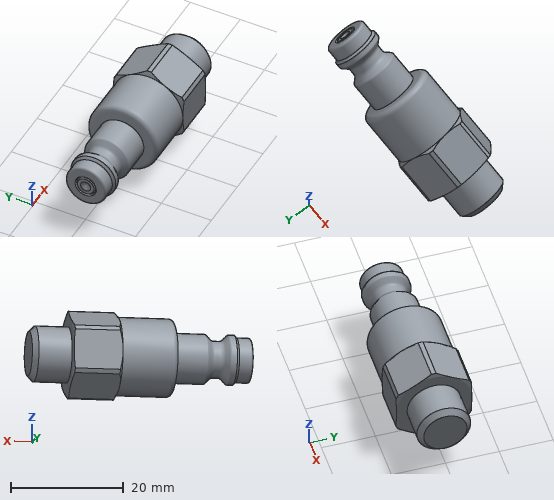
import cadquery as cq
import math

total_length = 40.0

nose_diameter = 8.05
nose_fillet = 0.5
nose_length = 2.55

shank_diameter = 8.95
groove_diameter = 6.6
groove_floor_start = 5.7
groove_floor_end = 6.65
groove_floor_fillet = 1.0
groove_rim_fillet = 0.5

body_diameter = 14.0
body_fillet = 1.05
body_fillet_end = 15.1
body_face_slope = math.radians(5)

hex_start = 24.15
hex_end = 33.0
hex_across_flats = body_diameter
hex_corner_diameter = 15.7
hex_front_chamfer = 0.5
hex_back_chamfer = 0.2

spigot_diameter = 10.0
spigot_chamfer = 1.0

bore_diameter = 4.2
pin_diameter = 3.8
pin_chamfer = 0.25
pin_gap_depth = 1.0
dimple_diameter = 2.0
dimple_depth = 0.6

nose_radius = nose_diameter / 2
shank_radius = shank_diameter / 2
groove_radius = groove_diameter / 2
body_radius = body_diameter / 2
spigot_radius = spigot_diameter / 2
hex_corner_radius = hex_corner_diameter / 2


def make_turned_body():
    """Revolve the nose, groove, shank, round body and spigot about X."""
    cos45 = math.cos(math.radians(45))
    half_cos = math.cos(math.radians(22.5))
    half_sin = math.sin(math.radians(22.5))

    floor_run = groove_floor_fillet * cos45
    floor_rise = groove_floor_fillet * (1 - cos45)
    rim_run = groove_rim_fillet * cos45
    rim_drop = groove_rim_fillet * (1 - cos45)
    cone_run = shank_radius - groove_radius - floor_rise - rim_drop

    cone_foot = (floor_run, groove_radius + floor_rise)
    cone_top = (floor_run + cone_run, shank_radius - rim_drop)
    rim = (floor_run + cone_run + rim_run, shank_radius)
    floor_mid = (groove_floor_fillet * half_sin, groove_radius + groove_floor_fillet * (1 - half_cos))
    rim_mid = (rim[0] - groove_rim_fillet * half_sin, shank_radius - groove_rim_fillet * (1 - half_cos))

    face_outer_x = body_fillet_end - body_fillet * math.cos(body_face_slope)
    face_outer_radius = body_radius - body_fillet * (1 - math.sin(body_face_slope))
    face_inner_x = face_outer_x - (face_outer_radius - shank_radius) * math.tan(body_face_slope)

    def front_wall(point):
        return (groove_floor_start - point[0], point[1])

    def back_wall(point):
        return (groove_floor_end + point[0], point[1])

    profile = (
        cq.Workplane("XY")
        .lineTo(0, nose_radius - nose_fillet)
        .radiusArc((nose_fillet, nose_radius), nose_fillet)
        .lineTo(nose_length, nose_radius)
        .lineTo(nose_length + shank_radius - nose_radius, shank_radius)
        .lineTo(*front_wall(rim))
        .threePointArc(front_wall(rim_mid), front_wall(cone_top))
        .lineTo(*front_wall(cone_foot))
        .threePointArc(front_wall(floor_mid), (groove_floor_start, groove_radius))
        .lineTo(groove_floor_end, groove_radius)
        .threePointArc(back_wall(floor_mid), back_wall(cone_foot))
        .lineTo(*back_wall(cone_top))
        .threePointArc(back_wall(rim_mid), back_wall(rim))
        .lineTo(face_inner_x, shank_radius)
        .lineTo(face_outer_x, face_outer_radius)
        .radiusArc((body_fillet_end, body_radius), body_fillet)
        .lineTo(hex_start, body_radius)
        .lineTo(hex_end, body_radius)
        .lineTo(hex_end, spigot_radius)
        .lineTo(total_length - spigot_chamfer, spigot_radius)
        .lineTo(total_length, spigot_radius - spigot_chamfer)
        .lineTo(total_length, 0)
        .close()
    )
    return profile.revolve(360, (0, 0, 0), (1, 0, 0))


def make_hexagon():
    """Hexagon with flats facing +Y and -Y, rounded corners and chamfered ends."""
    across_corners = hex_across_flats / math.cos(math.radians(30))
    prism = (
        cq.Workplane("YZ", origin=(hex_start, 0, 0))
        .transformed(rotate=(0, 0, 90))
        .polygon(6, across_corners)
        .extrude(hex_end - hex_start)
    )
    envelope = (
        cq.Workplane("XY")
        .moveTo(hex_start, 0)
        .lineTo(hex_start, body_radius)
        .lineTo(hex_start + hex_front_chamfer, hex_corner_radius)
        .lineTo(hex_end - hex_back_chamfer, hex_corner_radius)
        .lineTo(hex_end, body_radius)
        .lineTo(hex_end, 0)
        .close()
        .revolve(360, (0, 0, 0), (1, 0, 0))
    )
    return prism.intersect(envelope)


def make_valve_recess():
    """Ring-shaped gap that leaves a chamfered, flush valve pin with a conical dimple."""
    pin_radius = pin_diameter / 2
    gap = (
        cq.Workplane("XY")
        .moveTo(0, pin_radius - pin_chamfer)
        .lineTo(pin_chamfer, pin_radius)
        .lineTo(pin_gap_depth, pin_radius)
        .lineTo(pin_gap_depth, bore_diameter / 2)
        .lineTo(0, bore_diameter / 2)
        .close()
        .revolve(360, (0, 0, 0), (1, 0, 0))
    )
    dimple = (
        cq.Workplane("XY")
        .lineTo(0, dimple_diameter / 2)
        .lineTo(dimple_depth, 0)
        .close()
        .revolve(360, (0, 0, 0), (1, 0, 0))
    )
    return gap.union(dimple)


result = make_turned_body().union(make_hexagon()).cut(make_valve_recess())